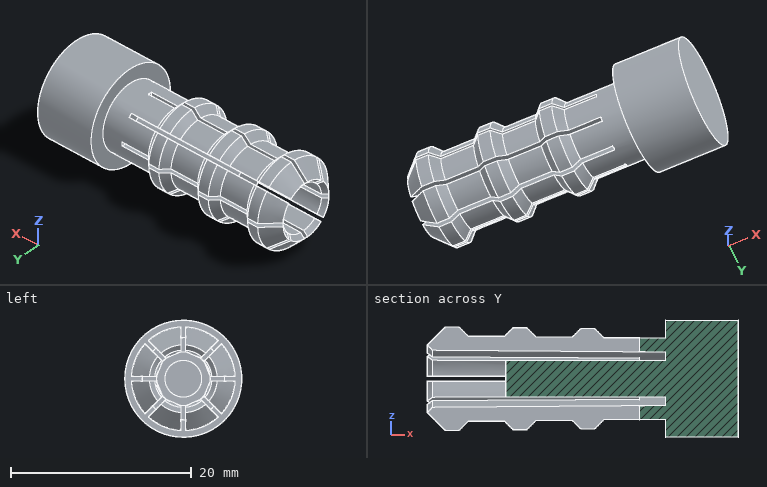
import cadquery as cq

length = 34.45
head_diameter = 13.0
head_radius = head_diameter / 2
head_start = 26.4

first_shank_radius = 4.72
radius_step = 0.085
tip_radius = 3.75

barb_height = 1.05
barb_count = 3
first_crest_start = 2.0
barb_pitch = 7.5
barb_crest_length = 1.5

bore_mouth_radius = 3.17
bore_floor_radius = 2.95
bore_floor = head_start

pin_radius = 2.05
pin_start = 8.7

slot_count = 8
slot_width = 0.5
slot_end = 23.5


def revolve_about_axis(points):
    return cq.Workplane("XY").polyline(points).close().revolve(360, (0, 0, 0), (1, 0, 0))


def outer_body():
    """Solid of revolution: tip cone, barbed shank and head."""
    points = [(0, 0), (0, tip_radius)]
    front_radius = tip_radius
    for i in range(barb_count):
        crest_start = first_crest_start + i * barb_pitch
        back_radius = first_shank_radius - i * radius_step
        crest_radius = back_radius + barb_height
        crest_end = crest_start + barb_crest_length
        if i > 0:
            points.append((crest_start - (crest_radius - front_radius), front_radius))
        points += [
            (crest_start, crest_radius),
            (crest_end, crest_radius),
            (crest_end + barb_height, back_radius),
        ]
        front_radius = back_radius
    points += [
        (head_start, front_radius),
        (head_start, head_radius),
        (length, head_radius),
        (length, 0),
    ]
    return revolve_about_axis(points)


def bore():
    """Cutter with a 45 degree mouth that meets the tip cone in a sharp rim."""
    mouth_chamfer = tip_radius - bore_mouth_radius
    return revolve_about_axis([
        (0, 0),
        (0, tip_radius),
        (mouth_chamfer, bore_mouth_radius),
        (bore_floor, bore_floor_radius),
        (bore_floor, 0),
    ])


def slots():
    """Radial blades, evenly spaced around the axis."""
    blade = cq.Workplane("XY").box(slot_end, slot_width, head_radius, centered=(False, True, False))
    blades = cq.Workplane("XY")
    for i in range(slot_count):
        blades = blades.add(blade.rotate((0, 0, 0), (1, 0, 0), i * 360 / slot_count))
    return blades.combine()


def pin():
    return cq.Workplane("YZ").workplane(offset=pin_start).circle(pin_radius).extrude(length - pin_start)


result = outer_body().cut(bore()).cut(slots()).union(pin())